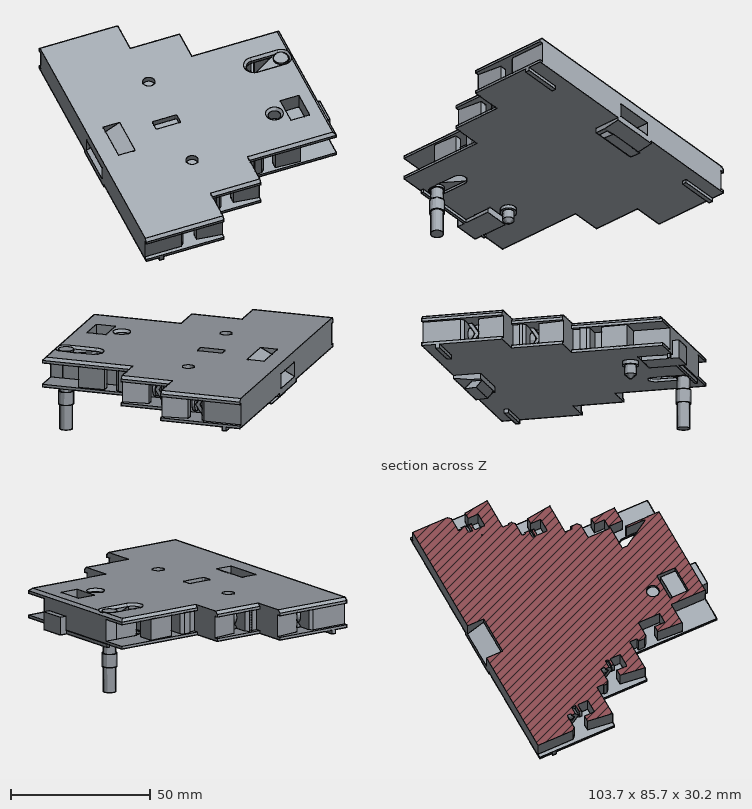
import cadquery as cq

WIDE_HALF, MID_HALF, NARROW_HALF = 51.85, 39.75, 27.9
WIDE_BACK, MID_BACK, BACK = 30.1, 49.2, 83.2
TOP_Z = 11.1
COVER_BOTTOM = 9.05
BASE_THICKNESS = 1.05
BEVEL_WIDTH, BEVEL_HEIGHT = 1.05, 1.05
WALL_INSET = 1.45
NARROW_WALL_INSET = 0.7
CAVITY_MID_Z = (COVER_BOTTOM + BASE_THICKNESS) / 2
EPS = 0.1

WALL_TAPER = 1.2
NARROW_WALL_TAPER = 0.5
TAPER_LENGTH = 9.6
WALL_THICKNESS = 2.6
HOLLOW_LENGTH = 4.0
OPENING_DEPTH = 9.0
NARROW_OPENING_DEPTH = 7.0
NARROW_WALL_BACK = 69.6
STRIP_LENGTH = 1.1
WIDE_OPENING_FRONT, MID_OPENING_FRONT, NARROW_OPENING_FRONT = 14.1, 33.7, 54.5
MID_STEP_Y, NARROW_STEP_Y = 32.6, 52.0
STEP_DEPTH = 0.4

CLAMP_LENGTH = 3.0
CLAMP_ARM = 1.65
CLAMP_APEX = 5.3
CLAMP_LEAN = 2.7
STUB_RADIUS, STUB_LENGTH = 3.35, 0.9
SCREW_RADIUS, SCREW_LENGTH = 3.0, 2.2

PIN_X, PIN_Y = -14.6, 78.7
PIN_HEAD_RADIUS, PIN_HEAD_TOP = 2.75, 10.85
PIN_RADIUS, PIN_BOTTOM = 2.3, -19.1
COLLAR_RADIUS, COLLAR_TOP, COLLAR_BOTTOM = 2.75, -4.8, -9.7
SLOT_WIDTH, SLOT_FRONT, SLOT_BACK = 5.8, 65.5, 81.75
COUNTERSINK = 0.95
LEVER_SIDE = -18.6
LEVER_TOP = TOP_Z - COUNTERSINK
RIB_SIDE, RIB_WIDTH = -18.5, 0.9
LEVER_SLOPE = -1.56

SLIDER_X = 10.5
SLIDER_WIDTH, SLIDER_FRONT, SLIDER_BACK = 9.85, 71.7, 85.7
SLIDER_TOP, PAD_BOTTOM = 5.25, -1.4
BAR_LEFT, BAR_RIGHT, BAR_FRONT, BAR_BACK = -18.6, 16.9, 81.8, 82.8
WINDOW_LEFT, WINDOW_RIGHT, WINDOW_FRONT, WINDOW_BACK = 5.4, 15.85, 70.4, 77.65
PEG_Y = 66.15
PEG_RADIUS, PEG_COLLAR_RADIUS, PEG_TIP_RADIUS = 2.1, 2.95, 0.4
PEG_SHOULDER, PEG_TIP = -4.8, -6.3
PEG_HOLE_RADIUS, PEG_HOLE_DEPTH = 2.25, 5.0

HOLE_RADIUS, HOLE_X, HOLE_Y = 2.2, 20.95, 30.1
KEYWAY_WIDTH, KEYWAY_FRONT, KEYWAY_BACK, KEYWAY_RADIUS = 4.0, 23.8, 33.3, 0.6

LATCH_LEFT, LATCH_RIGHT = -6.1, 8.9
LATCH_BASE_LEFT, LATCH_BASE_RIGHT = -7.8, 10.95
LATCH_FRONT_Z, LATCH_BASE_Z, LATCH_BACK = -1.05, -2.05, 10.2
HOOK_ROOT_FRONT = 6.4
HOOK_HEEL_Y, HOOK_HEEL_Z = 7.9, -4.5
HOOK_TIP_Y, HOOK_TIP_Z = 3.55, -4.75
GRIP_BOTTOM, GRIP_RAMP_TOP, GRIP_TOP = 1.45, 4.9, 7.0
GRIP_FRONT, GRIP_BACK = 6.45, 12.9
TOP_GRIP_DEPTH = 3.2

FOOT_LENGTH, FOOT_FRONT, FOOT_WIDTH, FOOT_HEIGHT = 15.0, 5.15, 1.6, 1.4


def box(x0, x1, y0, y1, z0, z1):
    return cq.Workplane("XY").box(x1 - x0, y1 - y0, z1 - z0, centered=False).translate((x0, y0, z0))


def prism(points, z0, z1):
    return cq.Workplane("XY").workplane(offset=z0).polyline(points).close().extrude(z1 - z0)


def side_prism(points, x0, x1):
    """Extrude a (y, z) profile along X."""
    return cq.Workplane("YZ").workplane(offset=x0).polyline(points).close().extrude(x1 - x0)


def rod(x, y, radius, z0, z1):
    return cq.Workplane("XY").workplane(offset=z0).center(x, y).circle(radius).extrude(z1 - z0)


def cross_rod(x, y0, y1, radius):
    """Cylinder along Y, half way up the cavity."""
    return cq.Workplane("XZ", origin=(x, y0, CAVITY_MID_Z)).circle(radius).extrude(y0 - y1)


def both_sides(body):
    return body.union(body.mirror("YZ"))


def stepped_plate(z0, z1):
    plate = box(-WIDE_HALF, WIDE_HALF, 0, WIDE_BACK, z0, z1)
    plate = plate.union(box(-MID_HALF, MID_HALF, 0, MID_BACK, z0, z1))
    return plate.union(box(-NARROW_HALF, NARROW_HALF, 0, BACK, z0, z1))


def make_cover():
    cover = stepped_plate(COVER_BOTTOM, TOP_Z)
    bevel_z = TOP_Z - BEVEL_HEIGHT
    steps = ((WIDE_HALF, 0, WIDE_BACK), (MID_HALF, WIDE_BACK, MID_BACK), (NARROW_HALF, MID_BACK, BACK))
    for half, front, back in steps:
        edge = [(half, bevel_z), (half, TOP_Z), (half - BEVEL_WIDTH, TOP_Z)]
        bevel = cq.Workplane("XZ", origin=(0, front, 0)).polyline(edge).close().extrude(front - back)
        cover = cover.cut(both_sides(bevel))
    back_edge = [(BACK, bevel_z), (BACK, TOP_Z), (BACK - BEVEL_WIDTH, TOP_Z)]
    return cover.cut(side_prism(back_edge, -NARROW_HALF, NARROW_HALF))


def opening_outline(half, inset, opening_front, wall_back, taper, depth):
    """Opening in the left side: lead-in strip, pocket, recess behind the wall, tapered wall face."""
    outer = -half
    wall = outer + inset
    lead_in = opening_front + STRIP_LENGTH
    wall_front = wall_back - TAPER_LENGTH
    wall_inner = wall + taper + WALL_THICKNESS
    return [
        (outer, opening_front),
        (wall, opening_front),
        (wall + STRIP_LENGTH, lead_in),
        (wall + depth, lead_in),
        (wall + depth, wall_front + HOLLOW_LENGTH),
        (wall_inner, wall_front + HOLLOW_LENGTH),
        (wall_inner, wall_front),
        (wall + taper, wall_front),
        (wall, wall_back),
        (outer, wall_back),
    ]


def lever_flank_y(x):
    return PIN_Y + LEVER_SLOPE * (x - LEVER_SIDE)


def lever_bay_outline():
    """Open bay left of the lever, reaching under the front end of the lever slot."""
    bay_right = PIN_X + SLOT_WIDTH / 2 + COUNTERSINK
    bay_front = SLOT_FRONT - COUNTERSINK
    bay_left = -NARROW_HALF + NARROW_OPENING_DEPTH
    return [
        (-NARROW_HALF, BACK),
        (LEVER_SIDE, BACK),
        (LEVER_SIDE, PIN_Y),
        (bay_right, lever_flank_y(bay_right)),
        (bay_right, bay_front),
        (bay_left, bay_front),
        (bay_left, NARROW_WALL_BACK),
        (-NARROW_HALF, NARROW_WALL_BACK),
    ]


def make_core():
    """Walls and filling between the two plates."""
    core = box(-WIDE_HALF + WALL_INSET, WIDE_HALF - WALL_INSET, 0, WIDE_BACK, BASE_THICKNESS, COVER_BOTTOM)
    mid_wall = MID_HALF - WALL_INSET
    narrow_wall = NARROW_HALF - NARROW_WALL_INSET
    core = core.union(box(-mid_wall, mid_wall, 0, MID_BACK, BASE_THICKNESS, COVER_BOTTOM))
    core = core.union(box(-narrow_wall, narrow_wall, 0, BACK, BASE_THICKNESS, COVER_BOTTOM))

    openings = (
        opening_outline(WIDE_HALF, WALL_INSET, WIDE_OPENING_FRONT, WIDE_BACK, WALL_TAPER, OPENING_DEPTH),
        opening_outline(MID_HALF, WALL_INSET, MID_OPENING_FRONT, MID_BACK, WALL_TAPER, OPENING_DEPTH),
        opening_outline(NARROW_HALF, NARROW_WALL_INSET, NARROW_OPENING_FRONT, NARROW_WALL_BACK,
                        NARROW_WALL_TAPER, NARROW_OPENING_DEPTH),
    )
    for outline in openings:
        core = core.cut(both_sides(prism(outline, BASE_THICKNESS, COVER_BOTTOM)))

    for half, front, step_y in ((MID_HALF, WIDE_BACK, MID_STEP_Y), (NARROW_HALF, MID_BACK, NARROW_STEP_Y)):
        step = box(-half, -half + WALL_INSET + STEP_DEPTH, front, step_y, BASE_THICKNESS, COVER_BOTTOM)
        core = core.cut(both_sides(step))

    core = core.cut(prism(lever_bay_outline(), BASE_THICKNESS, COVER_BOTTOM))
    rib = box(RIB_SIDE, RIB_SIDE + RIB_WIDTH, NARROW_WALL_BACK, PIN_Y + EPS, BASE_THICKNESS, COVER_BOTTOM)
    right_bay = box(-LEVER_SIDE, NARROW_HALF, NARROW_WALL_BACK, BACK, BASE_THICKNESS, COVER_BOTTOM)
    return core.union(rib).cut(right_bay)


def make_clamp(half, opening_front, wall_back):
    """V-shaped clamp with a screw in front of it and a stub behind it, in the left opening."""
    pocket_end = -half + WALL_INSET + OPENING_DEPTH
    clamp_x = pocket_end - CLAMP_LENGTH
    opening_back = wall_back - TAPER_LENGTH
    lead_in = opening_front + STRIP_LENGTH
    apex = opening_front + CLAMP_APEX
    tail = apex - CLAMP_LEAN
    chevron = [
        (tail, COVER_BOTTOM),
        (apex, CAVITY_MID_Z),
        (tail, BASE_THICKNESS),
        (tail - CLAMP_ARM, BASE_THICKNESS),
        (apex - CLAMP_ARM, CAVITY_MID_Z),
        (tail - CLAMP_ARM, COVER_BOTTOM),
    ]
    clamp = side_prism(chevron, clamp_x, pocket_end + EPS)
    clamp = clamp.union(cross_rod(pocket_end, lead_in - EPS, lead_in + SCREW_LENGTH, SCREW_RADIUS))
    return clamp.union(cross_rod(pocket_end, opening_back - STUB_LENGTH, opening_back + EPS, STUB_RADIUS))


def stadium(margin, z):
    """Outline of the lever slot, grown by a margin all round."""
    outline = cq.Workplane("XY", origin=(PIN_X, (SLOT_FRONT + SLOT_BACK) / 2, z))
    return outline.slot2D(SLOT_BACK - SLOT_FRONT + 2 * margin, SLOT_WIDTH + 2 * margin, 90)


def make_lever_slot():
    """Slot through both plates, countersunk in the cover, leaving the raised top of the lever."""
    countersink = stadium(COUNTERSINK, TOP_Z).extrude(-COUNTERSINK, taper=45)
    cover_slot = stadium(0, COVER_BOTTOM).extrude(TOP_Z - COVER_BOTTOM)
    lever_top = stadium(0, COVER_BOTTOM).extrude(LEVER_TOP - COVER_BOTTOM)
    lever_top = lever_top.cut(prism(lever_bay_outline(), COVER_BOTTOM, LEVER_TOP))
    cover_slot = cover_slot.cut(lever_top)
    base_slot = stadium(0, 0).extrude(BASE_THICKNESS)
    return countersink.union(cover_slot).union(base_slot)


def make_cover_openings():
    holes = both_sides(rod(HOLE_X, HOLE_Y, HOLE_RADIUS, COVER_BOTTOM, TOP_Z))
    keyway = box(-KEYWAY_WIDTH / 2, KEYWAY_WIDTH / 2, KEYWAY_FRONT, KEYWAY_BACK, COVER_BOTTOM, TOP_Z)
    keyway = keyway.edges("|Z").fillet(KEYWAY_RADIUS)
    window = box(WINDOW_LEFT, WINDOW_RIGHT, WINDOW_FRONT, WINDOW_BACK, PAD_BOTTOM, TOP_Z)
    peg_hole = rod(SLIDER_X, PEG_Y, PEG_HOLE_RADIUS, TOP_Z - PEG_HOLE_DEPTH, TOP_Z)
    peg_sink = cq.Workplane("XY", origin=(SLIDER_X, PEG_Y, TOP_Z)).circle(PEG_HOLE_RADIUS + COUNTERSINK)
    peg_hole = peg_hole.union(peg_sink.extrude(-COUNTERSINK, taper=45))
    return holes.union(keyway).union(window).union(peg_hole)


def make_grips():
    """Two ramped recesses above the latch: one in the front face, one in the cover."""
    front_grip = [(0, GRIP_BOTTOM), (GRIP_FRONT, GRIP_RAMP_TOP), (GRIP_FRONT, GRIP_TOP), (0, GRIP_TOP)]
    top_grip = [(GRIP_FRONT, TOP_Z), (GRIP_FRONT, TOP_Z - TOP_GRIP_DEPTH), (GRIP_BACK, TOP_Z)]
    grips = side_prism(front_grip, LATCH_LEFT, LATCH_RIGHT)
    return grips.union(side_prism(top_grip, LATCH_LEFT, LATCH_RIGHT))


def make_latch():
    """Wedge under the front edge with a forward-leaning hook below it."""
    base = [
        (0, EPS),
        (0, LATCH_FRONT_Z),
        (HOOK_ROOT_FRONT, LATCH_BASE_Z),
        (LATCH_BACK, LATCH_BASE_Z),
        (LATCH_BACK, EPS),
    ]
    hook = [
        (LATCH_BACK, LATCH_BASE_Z),
        (HOOK_HEEL_Y, HOOK_HEEL_Z),
        (HOOK_TIP_Y, HOOK_TIP_Z),
        (HOOK_ROOT_FRONT, LATCH_BASE_Z),
    ]
    latch = side_prism(base, LATCH_BASE_LEFT, LATCH_BASE_RIGHT)
    return latch.union(side_prism(hook, LATCH_LEFT, LATCH_RIGHT))


def make_foot():
    return box(-WIDE_HALF, -WIDE_HALF + FOOT_LENGTH, FOOT_FRONT, FOOT_FRONT + FOOT_WIDTH, -FOOT_HEIGHT, EPS)


def make_slider():
    """Tongue at the back with its pad under the base, and the thin bar behind the pin."""
    left = SLIDER_X - SLIDER_WIDTH / 2
    tongue = box(left, left + SLIDER_WIDTH, SLIDER_FRONT, SLIDER_BACK, PAD_BOTTOM, SLIDER_TOP)
    return tongue.union(box(BAR_LEFT, BAR_RIGHT, BAR_FRONT, BAR_BACK, PAD_BOTTOM, EPS))


def make_pin():
    pin = rod(PIN_X, PIN_Y, PIN_HEAD_RADIUS, 0, PIN_HEAD_TOP)
    pin = pin.union(rod(PIN_X, PIN_Y, PIN_RADIUS, PIN_BOTTOM, 0))
    return pin.union(rod(PIN_X, PIN_Y, COLLAR_RADIUS, COLLAR_BOTTOM, COLLAR_TOP))


def make_peg():
    half_profile = [
        (0, EPS),
        (PEG_COLLAR_RADIUS, EPS),
        (PEG_COLLAR_RADIUS, PAD_BOTTOM),
        (PEG_RADIUS, PAD_BOTTOM),
        (PEG_RADIUS, PEG_SHOULDER),
        (PEG_TIP_RADIUS, PEG_TIP),
        (0, PEG_TIP),
    ]
    peg = cq.Workplane("XZ").polyline(half_profile).close().revolve(360, (0, 0), (0, 1))
    return peg.translate((SLIDER_X, PEG_Y, 0))


housing = make_cover().union(stepped_plate(0, BASE_THICKNESS)).union(make_core())
housing = housing.cut(make_lever_slot()).cut(make_cover_openings()).cut(make_grips())

fittings = [
    both_sides(make_clamp(WIDE_HALF, WIDE_OPENING_FRONT, WIDE_BACK)),
    both_sides(make_clamp(MID_HALF, MID_OPENING_FRONT, MID_BACK)),
    both_sides(make_foot()),
    make_latch(),
    make_slider(),
    make_pin(),
    make_peg(),
]
result = housing
for fitting in fittings:
    result = result.union(fitting)